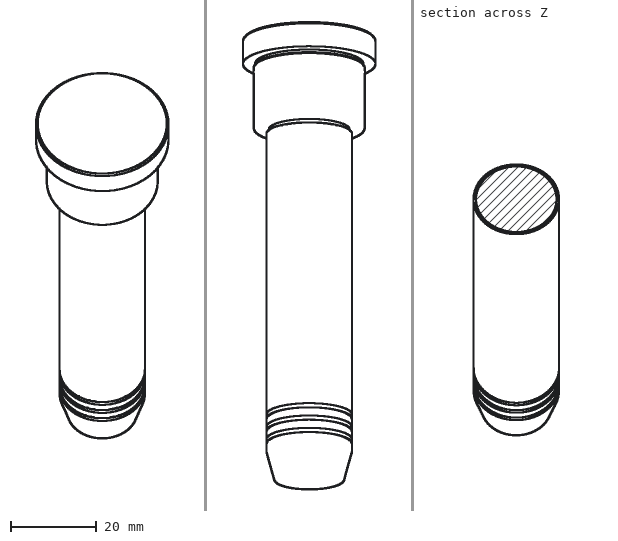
import cadquery as cq
import math

total_length = 107.0
head_diameter = 31.0
head_thickness = 6.0
head_chamfer = 0.4

collar_diameter = 26.0
collar_end_depth = 21.9
collar_edge = 0.5
head_relief_width = 1.0
head_relief_depth = 0.3
head_relief_slope = 0.3

shaft_diameter = 20.0
neck_width = 1.0
neck_depth = 0.5

nose_length = 7.0
nose_angle = 15.0
nose_edge = 0.5
groove_count = 3
groove_width = 1.01
groove_pitch = 3.0
first_groove_bottom = 9.0

head_radius = head_diameter / 2
collar_radius = collar_diameter / 2
shaft_radius = shaft_diameter / 2
tip_radius = shaft_radius - nose_length * math.tan(math.radians(nose_angle))
head_bottom = total_length - head_thickness
collar_bottom = total_length - collar_end_depth
relief_radius = collar_radius - head_relief_depth


def cylinder(radius, bottom, top):
    return cq.Workplane("XY").workplane(offset=bottom).circle(radius).extrude(top - bottom)


def make_head():
    return cylinder(head_radius, head_bottom, total_length).faces(">Z").edges().chamfer(head_chamfer)


def make_collar():
    """Collar with a rounded lower edge and a relief groove under the head."""
    relief_bottom = head_bottom - head_relief_width
    body = cylinder(collar_radius, collar_bottom, head_bottom).faces("<Z").edges().fillet(collar_edge)
    relief = (
        cq.Workplane("XZ")
        .moveTo(relief_radius, head_bottom)
        .lineTo(relief_radius, relief_bottom + head_relief_slope)
        .lineTo(collar_radius, relief_bottom)
        .lineTo(collar_radius, head_bottom)
        .close()
        .revolve(360, (0, 0, 0), (0, 1, 0))
    )
    return body.cut(relief)


def make_shaft():
    """Straight shaft with a relieved neck below the collar."""
    neck_bottom = collar_bottom - neck_width
    shaft = cylinder(shaft_radius, nose_length, neck_bottom)
    return shaft.union(cylinder(shaft_radius - neck_depth, neck_bottom, collar_bottom))


def make_nose():
    nose = (
        cq.Workplane("XZ")
        .lineTo(tip_radius, 0)
        .lineTo(shaft_radius, nose_length)
        .lineTo(0, nose_length)
        .close()
        .revolve(360, (0, 0, 0), (0, 1, 0))
    )
    return nose.faces("<Z").edges().fillet(nose_edge)


def make_groove(bottom):
    """Ring that cuts a half-round oil groove into the shaft."""
    groove_radius = groove_width / 2
    return cq.Workplane(
        cq.Solid.makeTorus(shaft_radius, groove_radius, cq.Vector(0, 0, bottom + groove_radius))
    )


result = make_head().union(make_collar()).union(make_shaft()).union(make_nose())
for index in range(groove_count):
    result = result.cut(make_groove(first_groove_bottom + index * groove_pitch))